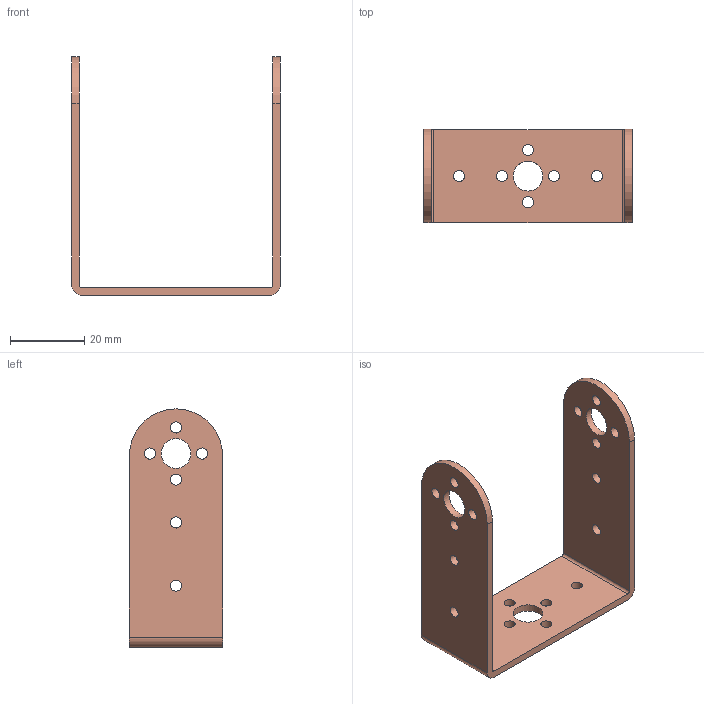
import cadquery as cq

width = 56.0
depth = 25.0
height = 64.0
thickness = 2.0
inner_bend_radius = 0.7
outer_bend_radius = inner_bend_radius + thickness

centre_hole_diameter = 8.0
screw_hole_diameter = 3.0
ring_radius = 7.0
arm_pattern_height = 52.0

arm_screw_heights = [33.5, 16.5]
base_screw_offset = 18.5

tip_radius = depth / 2
tip_centre_height = height - tip_radius


def make_bent_strip():
    """U-shaped strip with concentric inner and outer bends, base underside on Z = 0."""
    outer = (
        cq.Workplane("XY")
        .box(width, depth, height, centered=(True, True, False))
        .edges("|Y and <Z")
        .fillet(outer_bend_radius)
    )
    inner = (
        cq.Workplane("XY")
        .workplane(offset=thickness)
        .box(width - 2 * thickness, depth, height, centered=(True, True, False))
        .edges("|Y and <Z")
        .fillet(inner_bend_radius)
    )
    return outer.cut(inner)


def make_arm_envelope():
    """Side outline of the arms, straight with a semicircular tip, spanning the full width."""
    return (
        cq.Workplane("YZ")
        .moveTo(-tip_radius, 0)
        .lineTo(tip_radius, 0)
        .lineTo(tip_radius, tip_centre_height)
        .threePointArc((0, height), (-tip_radius, tip_centre_height))
        .close()
        .extrude(width / 2, both=True)
    )


def make_hole_cutters(plane, pattern_centre, extra_screws, reach):
    """Cylinders for one horn pattern and its extra screw holes, reaching both ways from the plane."""
    u, v = pattern_centre
    ring = [(u + ring_radius, v), (u - ring_radius, v), (u, v + ring_radius), (u, v - ring_radius)]
    centre_cutter = (
        cq.Workplane(plane)
        .center(u, v)
        .circle(centre_hole_diameter / 2)
        .extrude(reach, both=True)
    )
    screw_cutters = (
        cq.Workplane(plane)
        .pushPoints(ring + extra_screws)
        .circle(screw_hole_diameter / 2)
        .extrude(reach, both=True)
    )
    return centre_cutter.union(screw_cutters)


arm_cutters = make_hole_cutters(
    "YZ", (0, arm_pattern_height), [(0, z) for z in arm_screw_heights], width
)
base_cutters = make_hole_cutters(
    "XY", (0, 0), [(-base_screw_offset, 0), (base_screw_offset, 0)], 2 * thickness
)

bracket = make_bent_strip().intersect(make_arm_envelope())
result = bracket.cut(arm_cutters).cut(base_cutters)